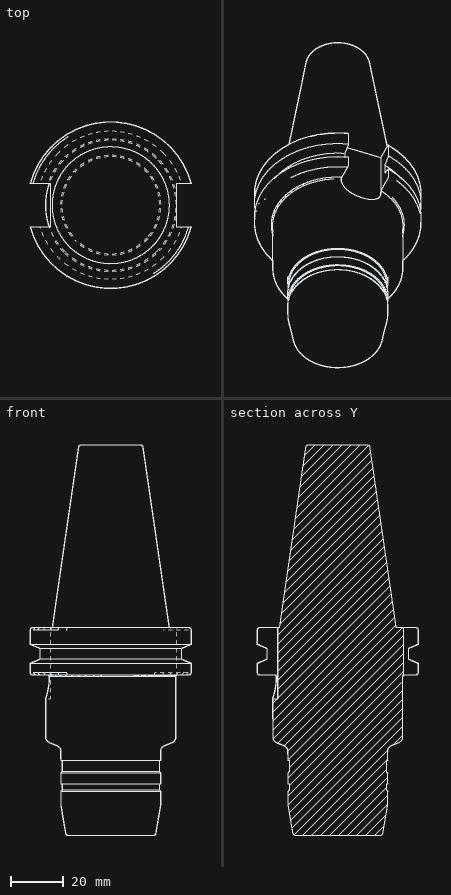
import cadquery as cq
import math


taper_base_radius = 44.45 / 2
taper_top_z = 68.25
flange_top_z = -1.0
taper_slope = 7 / 24 / 2
taper_end_radius = taper_base_radius - (taper_top_z - flange_top_z) * taper_slope
taper_end_rounding = 1.0

flange_radius = 63.26 / 2
flange_bottom_z = -19.1
flange_rounding = 1.0
groove_floor_radius = 56.25 / 2
groove_center_z = -11.05
groove_mouth_width = 7.2
groove_floor_width = 4.0

slot_width = 16.4
slot_end_z = -28.1
slot_floor_minus_x = 22.8
slot_floor_plus_x = 25.0

body_radius = 49.5 / 2
body_top_rounding = 0.5
shoulder_outer_z = -44.2
shoulder_angle = 22
shoulder_outer_rounding = 2.5
shoulder_inner_rounding = 2.0

nose_radius = 38.0 / 2
ring_floor_radius = 37.0 / 2
ring_grooves = ((-51.6, -56.2), (-60.5, -63.2))
ring_bevel = nose_radius - ring_floor_radius
tip_taper_z = -68.3
tip_radius = 34.0 / 2
tip_z = -80.0
tip_rounding = 1.0

shoulder_inner_z = shoulder_outer_z - (body_radius - nose_radius) * math.tan(math.radians(shoulder_angle))


def round_circle(solid, radius, z, rounding):
    """Fillet the circular edge of the given radius at height z."""
    tolerance = 0.01
    reach = radius + tolerance
    lower_corner = (-reach, -reach, z - tolerance)
    upper_corner = (reach, reach, z + tolerance)
    edges = solid.edges(cq.selectors.BoxSelector(lower_corner, upper_corner)).edges("%CIRCLE")
    matching = edges.filter(lambda edge: abs(edge.radius() - radius) < tolerance)
    return matching.fillet(rounding)


def turned_blank():
    """Revolve the half outline, then round its corners."""
    outline = [
        (0, taper_top_z),
        (taper_end_radius, taper_top_z),
        (taper_base_radius, flange_top_z),
        (flange_radius, flange_top_z),
        (flange_radius, groove_center_z + groove_mouth_width / 2),
        (groove_floor_radius, groove_center_z + groove_floor_width / 2),
        (groove_floor_radius, groove_center_z - groove_floor_width / 2),
        (flange_radius, groove_center_z - groove_mouth_width / 2),
        (flange_radius, flange_bottom_z),
        (body_radius, flange_bottom_z),
        (body_radius, shoulder_outer_z),
        (nose_radius, shoulder_inner_z),
    ]
    for upper_z, lower_z in ring_grooves:
        outline += [
            (nose_radius, upper_z),
            (ring_floor_radius, upper_z),
            (ring_floor_radius, lower_z + ring_bevel),
            (nose_radius, lower_z),
        ]
    outline += [
        (nose_radius, tip_taper_z),
        (tip_radius, tip_z),
        (0, tip_z),
    ]
    blank = cq.Workplane("XZ").polyline(outline).close().revolve(360, (0, 0, 0), (0, 1, 0))

    roundings = (
        (taper_end_radius, taper_top_z, taper_end_rounding),
        (flange_radius, flange_top_z, flange_rounding),
        (flange_radius, flange_bottom_z, flange_rounding),
        (body_radius, flange_bottom_z, body_top_rounding),
        (body_radius, shoulder_outer_z, shoulder_outer_rounding),
        (nose_radius, shoulder_inner_z, shoulder_inner_rounding),
        (tip_radius, tip_z, tip_rounding),
    )
    for radius, z, rounding in roundings:
        blank = round_circle(blank, radius, z, rounding)
    return blank


def drive_slot(floor_distance, side):
    """Cutter for one drive slot; side is -1 or +1 along X."""
    half_width = slot_width / 2
    arc_center_z = slot_end_z + half_width
    return (
        cq.Workplane("YZ", origin=(side * floor_distance, 0, 0))
        .moveTo(-half_width, flange_top_z)
        .lineTo(-half_width, arc_center_z)
        .threePointArc((0, slot_end_z), (half_width, arc_center_z))
        .lineTo(half_width, flange_top_z)
        .close()
        .extrude(side * flange_radius)
    )


result = (
    turned_blank()
    .cut(drive_slot(slot_floor_minus_x, -1))
    .cut(drive_slot(slot_floor_plus_x, 1))
)